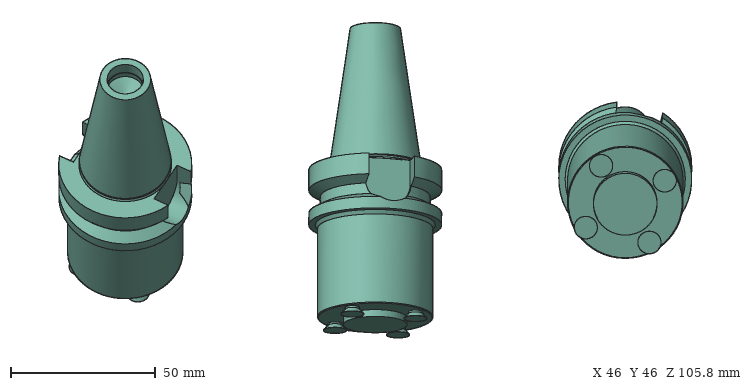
import cadquery as cq

total_height = 105.8
flange_diameter = 46.0
flange_radius = flange_diameter / 2

gauge_height = 56.9
shank_top_diameter = 17.6
taper_ratio = 7 / 24
gauge_diameter = shank_top_diameter + taper_ratio * (total_height - gauge_height)
neck_diameter = 31.3
neck_top = 56.6
neck_bottom = 56.0
neck_base_diameter = 32.2

flange_top = 55.3
upper_rim_bottom = 47.9
groove_top = 45.7
groove_bottom = 41.9
lower_rim_top = 39.8
flange_bottom = 35.7
groove_diameter = 38.1

body_diameter = 40.0
body_bottom = 2.4
body_edge_chamfer = 0.3
collar_diameter = 41.6
collar_bottom = 34.3

slot_width = 16.3
slot_floor = 16.0
slot_bottom = 38.5

bore_diameter = 12.5
bore_depth = 5.1
relief_diameter = 12.9
relief_depth = 7.5
bore_floor_diameter = 10.3
floor_rim_drop = 0.5
bore_floor_cone_height = 2.2

boss_diameter = 22.0
screw_offset = 11.3
screw_neck_diameter = 5.0
screw_head_diameter = 8.0
screw_cone_top = 1.8
screw_rim_height = 0.1


def revolve_profile(points):
    """Turn (radius, height) points around the Z axis."""
    return cq.Workplane("XZ").polyline(points).close().revolve(360, (0, 0, 0), (0, 1, 0))


def make_holder():
    body_radius = body_diameter / 2
    groove_radius = groove_diameter / 2
    neck_radius = neck_diameter / 2
    return revolve_profile([
        (0, 0),
        (boss_diameter / 2, 0),
        (boss_diameter / 2, body_bottom),
        (body_radius - body_edge_chamfer, body_bottom),
        (body_radius, body_bottom + body_edge_chamfer),
        (body_radius, collar_bottom),
        (collar_diameter / 2, flange_bottom),
        (flange_radius, flange_bottom),
        (flange_radius, lower_rim_top),
        (groove_radius, groove_bottom),
        (groove_radius, groove_top),
        (flange_radius, upper_rim_bottom),
        (flange_radius, flange_top),
        (neck_base_diameter / 2, flange_top),
        (neck_radius, neck_bottom),
        (neck_radius, neck_top),
        (gauge_diameter / 2, gauge_height),
        (shank_top_diameter / 2, total_height),
        (0, total_height),
    ])


def make_bore():
    """Straight bore that opens into a wider relief with a shallow conical floor."""
    relief_top = total_height - bore_depth
    relief_bottom = total_height - relief_depth
    floor_edge = relief_bottom - floor_rim_drop
    return revolve_profile([
        (0, total_height),
        (bore_diameter / 2, total_height),
        (bore_diameter / 2, relief_top),
        (relief_diameter / 2, relief_top),
        (relief_diameter / 2, relief_bottom),
        (bore_floor_diameter / 2, floor_edge),
        (0, floor_edge - bore_floor_cone_height),
    ])


def make_drive_slot(side):
    """Open-topped slot with a half-round lower end; side is -1 or 1 along X."""
    slot_radius = slot_width / 2
    arc_center = slot_bottom + slot_radius
    return (
        cq.Workplane("YZ", origin=(side * slot_floor, 0, 0))
        .moveTo(-slot_radius, flange_top)
        .lineTo(-slot_radius, arc_center)
        .threePointArc((0, slot_bottom), (slot_radius, arc_center))
        .lineTo(slot_radius, flange_top)
        .close()
        .extrude(side * flange_radius)
    )


def make_screw():
    """Screw with a flared head facing down."""
    neck_radius = screw_neck_diameter / 2
    head_radius = screw_head_diameter / 2
    return revolve_profile([
        (0, 0),
        (head_radius, 0),
        (head_radius, screw_rim_height),
        (neck_radius, screw_cone_top),
        (neck_radius, body_bottom),
        (0, body_bottom),
    ])


result = make_holder().cut(make_bore())

for side in (-1, 1):
    result = result.cut(make_drive_slot(side))

for x_side in (-1, 1):
    for y_side in (-1, 1):
        screw = make_screw().translate((x_side * screw_offset, y_side * screw_offset, 0))
        result = result.union(screw)